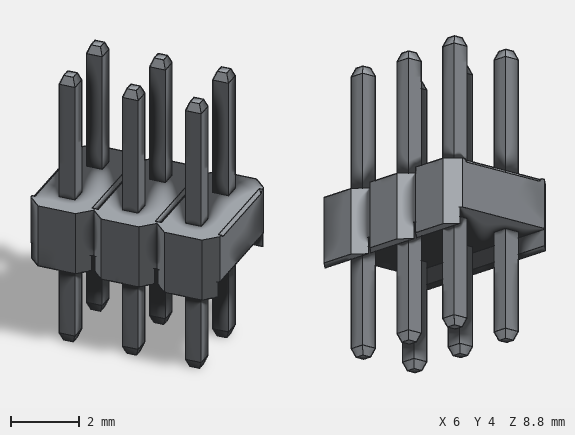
import cadquery as cq

columns = 3
rows = 2
header_length = 6.0
pitch = header_length / columns
header_depth = 4.0
total_height = 8.8

housing_height = 2.0
corner_chamfer = 0.405

leg_thickness = 0.35
channel_height = 0.5

groove_length = 3.0
groove_depth = 0.1

pin_width = 0.5
pin_tip_width = 0.3
pin_taper_height = 0.26
pin_length_below = 2.8


def centred_positions(count):
    """Positions spaced by one pitch and centred on zero."""
    return [(i - (count - 1) / 2) * pitch for i in range(count)]


def housing_cell(x):
    """Eight-sided block that holds one column of pins."""
    return (
        cq.Workplane("XY")
        .box(pitch, header_depth, housing_height, centered=(True, True, False))
        .edges("|Z")
        .chamfer(corner_chamfer)
        .translate((x, 0, 0))
    )


def underside_channel():
    """Cutter for the channel that runs the full length of the housing."""
    channel_width = header_depth - 2 * leg_thickness
    return cq.Workplane("XY").box(
        header_length, channel_width, channel_height, centered=(True, True, False)
    )


def break_groove(x):
    """Cutter for a V groove along Y, narrowing to a line at its bottom."""
    half_length = groove_length / 2
    half_width = groove_depth
    ridge = (
        cq.Workplane("YZ")
        .polyline([
            (-half_length, housing_height),
            (half_length, housing_height),
            (half_length - groove_depth, housing_height - groove_depth),
            (-half_length + groove_depth, housing_height - groove_depth),
        ])
        .close()
        .extrude(half_width, both=True)
    )
    wedge = (
        cq.Workplane("XZ")
        .polyline([
            (-half_width, housing_height),
            (half_width, housing_height),
            (0, housing_height - groove_depth),
        ])
        .close()
        .extrude(half_length, both=True)
    )
    return ridge.intersect(wedge).translate((x, 0, 0))


def pin_taper(direction):
    """Tapered pin end starting at Z = 0 and pointing up (1) or down (-1)."""
    return (
        cq.Workplane("XY")
        .rect(pin_width, pin_width)
        .workplane(offset=direction * pin_taper_height)
        .rect(pin_tip_width, pin_tip_width)
        .loft(ruled=True)
    )


def pin(x, y):
    """One pin passing through the housing."""
    shank_bottom = pin_taper_height - pin_length_below
    shank_length = total_height - 2 * pin_taper_height
    shank = (
        cq.Workplane("XY")
        .box(pin_width, pin_width, shank_length, centered=(True, True, False))
        .translate((0, 0, shank_bottom))
    )
    upper_end = pin_taper(1).translate((0, 0, shank_bottom + shank_length))
    lower_end = pin_taper(-1).translate((0, 0, shank_bottom))
    return shank.union(upper_end).union(lower_end).translate((x, y, 0))


column_positions = centred_positions(columns)
row_positions = centred_positions(rows)

result = housing_cell(column_positions[0])
for column_x in column_positions[1:]:
    result = result.union(housing_cell(column_x))

result = result.cut(underside_channel())

for boundary_x in centred_positions(columns + 1):
    result = result.cut(break_groove(boundary_x))

for column_x in column_positions:
    for row_y in row_positions:
        result = result.union(pin(column_x, row_y))